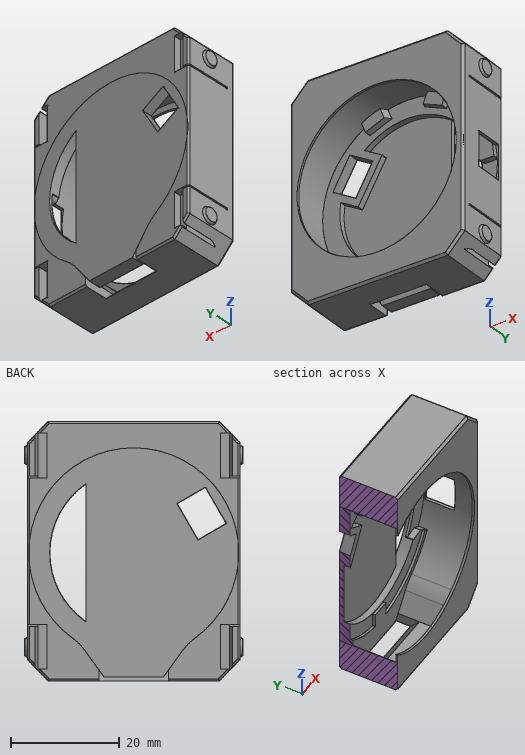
import cadquery as cq

WIDTH = 39.34
DEPTH = 12.5
HEIGHT = 48.0
CORNER_CUT_X = 3.85
CORNER_CUT_Z = 4.0
FRONT_CHAMFER = 0.5
BACK_CHAMFER = 0.4

HALF_WIDTH = WIDTH / 2
HALF_HEIGHT = HEIGHT / 2
FRONT_Y = -DEPTH / 2
BACK_Y = DEPTH / 2

AXIS_Z = -0.3
LIP_RADIUS = 18.0
LIP_THICKNESS = 0.5
CAVITY_RADIUS = 19.4
CAVITY_FRONT_Y = FRONT_Y + LIP_THICKNESS

SLOT_HALF_WIDTH = 6.4
FUNNEL_BOTTOM_Z = -22.0
FUNNEL_TOP_HALF_WIDTH = 10.3
FUNNEL_TOP_Z = -16.6
FUNNEL_BLEND = 10.0
SLOT_FRONT_INNER_Y = -1.2
SLOT_FRONT_OUTER_Y = 0.7

WINDOW_HEIGHT = 7.6
WINDOW_FRONT_Y = -1.3
WINDOW_BACK_Y = 5.0
WINDOW_INNER_X = 17.0

BUMP_DIAMETER = 3.7
BUMP_HEIGHT = 0.5
BUMP_TIP_DIAMETER = 3.1
BUMP_Y = 0.58
BUMP_Z = 17.75
TAB_THICKNESS = 1.45
TAB_GAP = 0.55
TAB_GAP_MOUTH = 1.6
TAB_GAP_MOUTH_TOP_Z = 21.8
TAB_ROOT_Y = -3.0
TAB_ROOT_LENGTH = 1.8
SIDE_SLIT_Z = 13.73
SIDE_SLIT_WIDTH = 0.35
SIDE_SLIT_FRONT_Y = -4.25

RIM_Y = 3.35
RIM_RADIUS = 18.5
RING_Y = 3.9
PLATE_Y = 5.25
RING_INNER_RADIUS = 15.5
PLATE_EDGE_X = 8.83
FOOT_BOTTOM_Z = -23.3
KEY_WIDTH = 4.0
KEY_TOP_RADIUS = 15.6

GAP_TOP_Z = 0.63
GAP_BOTTOM_INNER = (12.9, -9.05)
GAP_BOTTOM_PEAK = (15.6, -8.65)
GAP_BOTTOM_OUTER = (17.2, -9.5)
GAP_CORNER_LENGTH = 1.3
GAP_CORNER_RISE = 1.0
GAP_EDGE_CHAMFER = 0.36

APERTURE_ANGLE = 150.0
APERTURE_INNER = 11.5
APERTURE_OUTER = 17.5
APERTURE_WIDTH = 7.7
APERTURE_BORDER = 1.53

PAD_ANGLE = 22.0
PAD_OUTER_END = 2.52
PAD_INNER_END = 2.03
PAD_DISTANCE = 16.85
PAD_RAMP = 0.75
PAD_HEIGHT = 1.5
PAD_FRONT_Y = RING_Y - PAD_HEIGHT


def plane_at(y):
    """Plane at depth y, with local axes X and Z; extruding goes toward -Y."""
    return cq.Workplane("XZ", origin=(0, y, 0))


def disc(radius, front_y, back_y):
    """Cylinder about the cavity axis."""
    return plane_at(back_y).center(0, AXIS_Z).circle(radius).extrude(back_y - front_y)


def block(x_range, y_range, z_range):
    """Box given by its limits along each axis."""
    lows, highs = zip(x_range, y_range, z_range)
    sizes = [high - low for low, high in zip(lows, highs)]
    return cq.Workplane("XY").box(*sizes, centered=False).translate(lows)


def radial_block(angle, near, far, width, front_y, back_y):
    """Box that runs from near to far along the radius at the given angle."""
    box = block((near, far), (front_y, back_y), (-width / 2, width / 2))
    return box.rotate((0, 0, 0), (0, 1, 0), -angle).translate((0, 0, AXIS_Z))


def envelope():
    """Block with cut corners and chamfered front and back rims."""
    x_inner = HALF_WIDTH - CORNER_CUT_X
    z_inner = HALF_HEIGHT - CORNER_CUT_Z
    outline = [
        (x_inner, HALF_HEIGHT),
        (HALF_WIDTH, z_inner),
        (HALF_WIDTH, -z_inner),
        (x_inner, -HALF_HEIGHT),
        (-x_inner, -HALF_HEIGHT),
        (-HALF_WIDTH, -z_inner),
        (-HALF_WIDTH, z_inner),
        (-x_inner, HALF_HEIGHT),
    ]
    body = plane_at(BACK_Y).polyline(outline).close().extrude(DEPTH)
    body = body.faces("<Y").chamfer(FRONT_CHAMFER)
    return body.faces(">Y").chamfer(BACK_CHAMFER)


def cavity(front_y):
    """Round cavity blended into the funnel, from front_y to the back."""
    half_outline = [(FUNNEL_TOP_HALF_WIDTH, FUNNEL_TOP_Z), (SLOT_HALF_WIDTH, FUNNEL_BOTTOM_Z)]
    outline = half_outline + [(-x, z) for x, z in reversed(half_outline)]
    funnel = plane_at(BACK_Y).polyline(outline).close().extrude(BACK_Y - front_y)
    body = disc(CAVITY_RADIUS, front_y, BACK_Y).union(funnel)
    for side in (-1, 1):
        middle_y = (front_y + BACK_Y) / 2
        near_joint = cq.NearestToPointSelector((side * FUNNEL_TOP_HALF_WIDTH, middle_y, FUNNEL_TOP_Z))
        body = body.edges("|Y").edges(near_joint).fillet(FUNNEL_BLEND)
    return body


def bottom_slot():
    """Slot from the funnel through the bottom, with a sloping front wall."""
    profile = [
        (SLOT_FRONT_INNER_Y, FUNNEL_BOTTOM_Z),
        (SLOT_FRONT_OUTER_Y, -HALF_HEIGHT),
        (BACK_Y, -HALF_HEIGHT),
        (BACK_Y, FUNNEL_BOTTOM_Z),
    ]
    return cq.Workplane("YZ").polyline(profile).close().extrude(SLOT_HALF_WIDTH, both=True)


def side_window():
    """Opening in the +X wall, in front of the insert's plate."""
    half = WINDOW_HEIGHT / 2
    return block(
        (WINDOW_INNER_X, HALF_WIDTH),
        (WINDOW_FRONT_Y, WINDOW_BACK_Y),
        (AXIS_Z - half, AXIS_Z + half),
    )


def tab_slits():
    """Slits that free the tab at the +X, +Z corner on three sides."""
    outer_x = HALF_WIDTH - TAB_THICKNESS
    inner_x = outer_x - TAB_GAP
    slit_low_z = SIDE_SLIT_Z - SIDE_SLIT_WIDTH / 2
    root_start_y = TAB_ROOT_Y + TAB_ROOT_LENGTH
    behind = (
        cq.Workplane("XY", origin=(0, 0, slit_low_z))
        .moveTo(inner_x, BACK_Y)
        .lineTo(outer_x, BACK_Y)
        .lineTo(outer_x, root_start_y)
        .tangentArcPoint((inner_x, TAB_ROOT_Y), relative=False)
        .close()
        .extrude(HALF_HEIGHT - slit_low_z)
    )
    beside = block(
        (inner_x, HALF_WIDTH),
        (SIDE_SLIT_FRONT_Y, BACK_Y),
        (slit_low_z, slit_low_z + SIDE_SLIT_WIDTH),
    )
    mouth = block(
        (inner_x - TAB_GAP_MOUTH, outer_x),
        (BACK_Y - TAB_GAP_MOUTH, BACK_Y),
        (slit_low_z, TAB_GAP_MOUTH_TOP_Z),
    )
    return behind.union(beside).union(mouth)


def bump():
    """Round bump on the +X, +Z tab."""
    pin = cq.Workplane("YZ", origin=(HALF_WIDTH, BUMP_Y, BUMP_Z)).circle(BUMP_DIAMETER / 2)
    return pin.workplane(offset=BUMP_HEIGHT).circle(BUMP_TIP_DIAMETER / 2).loft()


def four_corners(feature):
    """The feature at the +X, +Z corner and its mirror images at the other corners."""
    right = feature.union(feature.mirror("XY"))
    return right.union(right.mirror("YZ"))


def make_frame():
    body = envelope()
    body = body.cut(disc(LIP_RADIUS, FRONT_Y, BACK_Y))
    body = body.cut(cavity(CAVITY_FRONT_Y)).cut(bottom_slot()).cut(side_window())
    body = body.cut(four_corners(tab_slits()))
    return body.union(four_corners(bump()))


def insert_blank():
    """Plug that fills the back of the cavity, with a foot that tapers on into the slot."""
    slope = (FUNNEL_TOP_HALF_WIDTH - SLOT_HALF_WIDTH) / (FUNNEL_TOP_Z - FUNNEL_BOTTOM_Z)
    tip_half_width = SLOT_HALF_WIDTH - slope * (FUNNEL_BOTTOM_Z - FOOT_BOTTOM_Z)
    outline = [
        (-SLOT_HALF_WIDTH, FUNNEL_BOTTOM_Z),
        (SLOT_HALF_WIDTH, FUNNEL_BOTTOM_Z),
        (tip_half_width, FOOT_BOTTOM_Z),
        (-tip_half_width, FOOT_BOTTOM_Z),
    ]
    foot = plane_at(BACK_Y).polyline(outline).close().extrude(BACK_Y - RIM_Y)
    return cavity(RIM_Y).union(foot).intersect(envelope())


def aperture_tab():
    """Part of the ring that reaches inward around the aperture."""
    width = APERTURE_WIDTH + 2 * APERTURE_BORDER
    near = APERTURE_INNER - APERTURE_BORDER
    return radial_block(APERTURE_ANGLE, near, APERTURE_OUTER, width, RING_Y, PLATE_Y)


def aperture():
    return radial_block(APERTURE_ANGLE, APERTURE_INNER, APERTURE_OUTER, APERTURE_WIDTH, RING_Y, BACK_Y)


def key():
    """Raised key at the bottom of the ring, flush with the rim."""
    return block(
        (-KEY_WIDTH / 2, KEY_WIDTH / 2),
        (RIM_Y, RING_Y),
        (AXIS_Z - RIM_RADIUS, AXIS_Z - KEY_TOP_RADIUS),
    )


def pads():
    """Two raised pads near the top; each has a ramp at the end toward the middle."""
    profile = [
        (-PAD_OUTER_END, RING_Y),
        (-PAD_OUTER_END, PAD_FRONT_Y),
        (PAD_INNER_END, PAD_FRONT_Y),
        (PAD_INNER_END + PAD_RAMP, RING_Y),
    ]
    pad = cq.Workplane("XY").polyline(profile).close().extrude(CAVITY_RADIUS - PAD_DISTANCE)
    pad = pad.translate((0, 0, PAD_DISTANCE)).rotate((0, 0, 0), (0, 1, 0), -PAD_ANGLE)
    pad = pad.translate((0, 0, AXIS_Z)).intersect(disc(CAVITY_RADIUS, PAD_FRONT_Y, RING_Y))
    return pad.union(pad.mirror("YZ"))


def gap_region(back_y):
    """Gap in the ring on the +X side, from the rim face to back_y."""
    inner_x = GAP_BOTTOM_INNER[0]
    outline = [
        GAP_BOTTOM_INNER,
        GAP_BOTTOM_PEAK,
        GAP_BOTTOM_OUTER,
        (HALF_WIDTH, GAP_BOTTOM_OUTER[1]),
        (HALF_WIDTH, GAP_TOP_Z),
        (RING_INNER_RADIUS + GAP_CORNER_LENGTH, GAP_TOP_Z),
    ]
    corner_top = (RING_INNER_RADIUS, GAP_TOP_Z + GAP_CORNER_RISE)
    return (
        plane_at(back_y)
        .polyline(outline)
        .tangentArcPoint(corner_top, relative=False)
        .lineTo(inner_x, corner_top[1])
        .close()
        .extrude(back_y - RIM_Y)
    )


def gap_edge_chamfer():
    """Cone that breaks the plate's edge inside the gap."""
    cone = (
        plane_at(PLATE_Y + GAP_EDGE_CHAMFER)
        .center(0, AXIS_Z)
        .circle(RING_INNER_RADIUS)
        .workplane(offset=GAP_EDGE_CHAMFER)
        .circle(RING_INNER_RADIUS + GAP_EDGE_CHAMFER)
        .loft()
    )
    return cone.intersect(gap_region(BACK_Y))


def make_insert():
    body = insert_blank()
    body = body.cut(disc(RIM_RADIUS, RIM_Y, RING_Y))
    body = body.cut(
        block((-HALF_WIDTH, HALF_WIDTH), (RIM_Y, RING_Y), (GAP_BOTTOM_INNER[1], HALF_HEIGHT))
    )
    opening = disc(RING_INNER_RADIUS, RIM_Y, BACK_Y)
    beyond_edge = block((PLATE_EDGE_X, HALF_WIDTH), (RIM_Y, BACK_Y), (-HALF_HEIGHT, HALF_HEIGHT))
    body = body.cut(disc(RING_INNER_RADIUS, RIM_Y, PLATE_Y)).cut(opening.intersect(beyond_edge))
    body = body.cut(gap_region(PLATE_Y)).cut(gap_edge_chamfer())
    body = body.union(aperture_tab()).cut(aperture())
    return body.union(key()).union(pads())


frame = make_frame().solids()
insert = make_insert().solids()

result = cq.Compound.makeCompound([frame.val(), insert.val()])